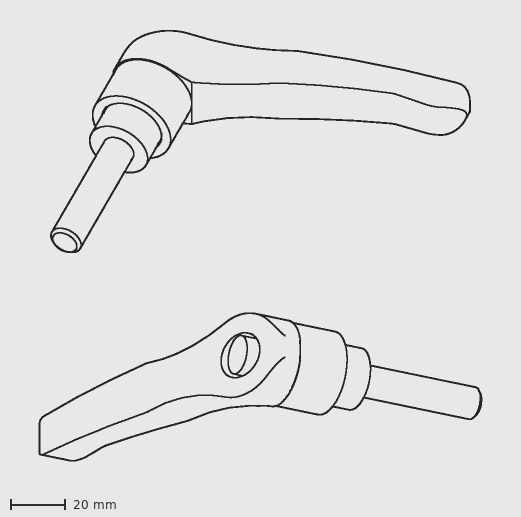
import cadquery as cq
import math


overall_length = 125.41
cut_height = 50.0

hub_radius = 16.0
collar_radius = 15.5
collar_length = 19.5
recess_diameter = 23.7
recess_depth = 1.0
sleeve_diameter = 23.0
sleeve_length = 12.0
stud_diameter = 12.0
stud_length = 50.0
stud_chamfer = 1.2

screw_bore_diameter = 17.0
screw_bore_floor = 8.0
screw_head_diameter = 14.3
screw_head_top = 17.5

hub_flat_x = -collar_radius
hub_top_fillet = 7.0
top_arc_radius = 375.0
top_arc_center_x = 137.5
top_arc_center_y = -332.43
under_arc_radius = 294.85
under_arc_center_x = 154.5
under_arc_center_y = -259.93
under_arc_start_x = 19.5
grip_flat_y = 26.45
grip_flat_fillet = 10.0
tip_x = overall_length + hub_flat_x
tip_under_radius = 15.0
tip_under_start_x = 96.9
tip_top_fillet = 5.0

neck_half_width = 8.8
neck_arc_radius = 65.0
bulge_x = 44.0
bulge_fillet = 11.0
tip_radius = 7.5


def cylinder_along_y(diameter, y_low, y_high):
    circle = cq.Workplane("XZ", origin=(0, y_high, 0)).circle(diameter / 2)
    return circle.extrude(y_high - y_low)


def fillet_edge_at(body, midpoint, radius):
    return body.edges(cq.NearestToPointSelector(midpoint)).fillet(radius)


def top_y(x):
    return top_arc_center_y + math.sqrt(top_arc_radius**2 - (x - top_arc_center_x) ** 2)


def under_y(x):
    return under_arc_center_y + math.sqrt(under_arc_radius**2 - (x - under_arc_center_x) ** 2)


def side_profile_body():
    """Side profile of hub top and handle, extruded over the full hub width."""
    mid_top_x = (hub_flat_x + tip_x) / 2
    rise = grip_flat_y - under_arc_center_y
    grip_start_x = under_arc_center_x - math.sqrt(under_arc_radius**2 - rise**2)
    mid_under_x = (under_arc_start_x + grip_start_x) / 2

    tip_center_y = grip_flat_y + tip_under_radius
    tip_end_angle = math.acos((tip_x - tip_under_start_x) / tip_under_radius)
    tip_mid_angle = (math.pi / 2 + tip_end_angle) / 2
    tip_mid = (
        tip_under_start_x + tip_under_radius * math.cos(tip_mid_angle),
        tip_center_y - tip_under_radius * math.sin(tip_mid_angle),
    )
    tip_end = (tip_x, tip_center_y - tip_under_radius * math.sin(tip_end_angle))

    body = (
        cq.Workplane("XY", origin=(0, 0, -hub_radius))
        .moveTo(hub_flat_x, 0)
        .lineTo(collar_radius, 0)
        .lineTo(under_arc_start_x, under_y(under_arc_start_x))
        .threePointArc((mid_under_x, under_y(mid_under_x)), (grip_start_x, grip_flat_y))
        .lineTo(tip_under_start_x, grip_flat_y)
        .threePointArc(tip_mid, tip_end)
        .lineTo(tip_x, top_y(tip_x))
        .threePointArc((mid_top_x, top_y(mid_top_x)), (hub_flat_x, top_y(hub_flat_x)))
        .close()
        .extrude(2 * hub_radius)
    )
    body = fillet_edge_at(body, (hub_flat_x, top_y(hub_flat_x), 0), hub_top_fillet)
    body = fillet_edge_at(body, (tip_x, top_y(tip_x), 0), tip_top_fillet)
    return fillet_edge_at(body, (grip_start_x, grip_flat_y, 0), grip_flat_fillet)


def width_outline_body():
    """Width outline of hub, neck, bulge and rounded tip, extruded along Y."""
    neck_center_z = neck_half_width + neck_arc_radius
    center_distance = hub_radius + neck_arc_radius
    neck_center_x = math.sqrt(center_distance**2 - neck_center_z**2)
    hub_tangent_x = hub_radius * neck_center_x / center_distance
    hub_tangent_z = hub_radius * neck_center_z / center_distance
    bulge_arc_z = neck_center_z - math.sqrt(neck_arc_radius**2 - (bulge_x - neck_center_x) ** 2)

    tip_center_x = tip_x - tip_radius
    hub_diagonal = hub_radius * math.sqrt(0.5)
    body = (
        cq.Workplane("XZ", origin=(0, cut_height, 0))
        .moveTo(-hub_radius, 0)
        .threePointArc((-hub_diagonal, hub_diagonal), (hub_tangent_x, hub_tangent_z))
        .threePointArc((neck_center_x, neck_half_width), (bulge_x, bulge_arc_z))
        .lineTo(tip_center_x, tip_radius)
        .threePointArc((tip_x, 0), (tip_center_x, -tip_radius))
        .lineTo(bulge_x, -bulge_arc_z)
        .threePointArc((neck_center_x, -neck_half_width), (hub_tangent_x, -hub_tangent_z))
        .threePointArc((-hub_diagonal, -hub_diagonal), (-hub_radius, 0))
        .close()
        .extrude(cut_height)
    )
    for side in (1, -1):
        corner = (bulge_x, cut_height / 2, side * bulge_arc_z)
        body = fillet_edge_at(body, corner, bulge_fillet)
    return body


def stud_insert():
    """Sleeve that fills the collar recess, with a chamfered stud below it."""
    sleeve_end = -collar_length - sleeve_length
    sleeve = cylinder_along_y(sleeve_diameter, sleeve_end, -collar_length + recess_depth)
    stud = cylinder_along_y(stud_diameter, sleeve_end - stud_length, sleeve_end)
    return sleeve.union(stud.faces("<Y").chamfer(stud_chamfer))


handle = side_profile_body().intersect(width_outline_body())

collar = cylinder_along_y(2 * collar_radius, -collar_length, 0)
recess = cylinder_along_y(recess_diameter, -collar_length, -collar_length + recess_depth)

screw_bore = cylinder_along_y(screw_bore_diameter, screw_bore_floor, cut_height)
screw_head = cylinder_along_y(screw_head_diameter, screw_bore_floor, screw_head_top)

result = handle.union(collar.cut(recess)).union(stud_insert())
result = result.cut(screw_bore).union(screw_head)